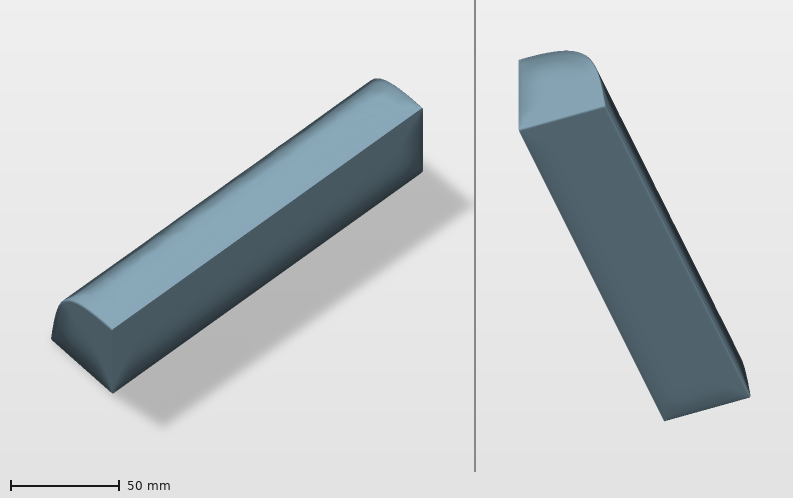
import cadquery as cq

section_width = 42.66
height = 49.0
length = 192.2

flat_top_width = 3.0
foot_slope = 0.12
foot_pull = 36.2
top_pull = 33.5

edge_radius = 1.0


def make_bar():
    """Extrude the section along Y, centred on Y = 0."""
    foot = (0, 0)
    foot_control = (foot_slope * foot_pull, foot_pull)
    flat_start_x = section_width - flat_top_width
    flat_start = (flat_start_x, height)
    top_control = (flat_start_x - top_pull, height)
    section = (
        cq.Workplane("XZ", origin=(0, length / 2, 0))
        .moveTo(*foot)
        .bezier([foot, foot_control, top_control, flat_start])
        .lineTo(section_width, height)
        .lineTo(section_width, 0)
        .close()
    )
    return section.extrude(length)


def round_edges(bar):
    """Round the edges of the two ends and the bottom, keeping the mounting face sharp."""
    end_and_bottom_edges = bar.faces("<Y or >Y or <Z").edges()
    mounting_edges = bar.faces(">X").edges().vals()
    rounded_edges = [edge for edge in end_and_bottom_edges.vals() if edge not in mounting_edges]
    return end_and_bottom_edges.newObject(rounded_edges).fillet(edge_radius)


result = round_edges(make_bar())